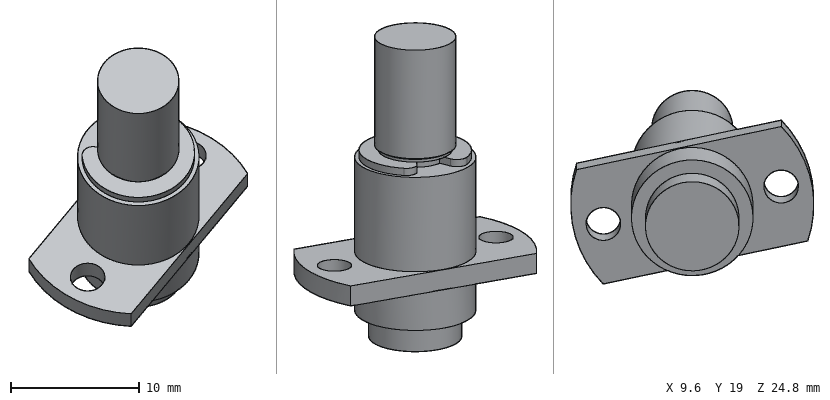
import cadquery as cq
import math

total_height = 24.8
spigot_top = 2.15
flange_bottom = 5.35
flange_thickness = 1.65
body_top = 14.83
clip_thickness = 0.6
clip_top = body_top + clip_thickness
collar_height = 0.22
neck_height = 0.17
neck_bottom = clip_top + collar_height
shaft_bottom = neck_bottom + neck_height

spigot_radius = 3.65
body_radius = 4.74
groove_radius = 2.4
collar_radius = 2.88
neck_radius = 2.78
shaft_radius = 3.17

flange_width = 9.6
flange_length = 18.95
hole_diameter = 2.68
hole_spacing = 14.19

clip_radius = 4.4
clip_half_opening = math.radians(25.0)
clip_tip_fillet = 0.85


def cylinder(radius, bottom, top):
    """Upright cylinder on the Z axis between two heights."""
    return cq.Workplane("XY", origin=(0, 0, bottom)).circle(radius).extrude(top - bottom)


def make_turned_body():
    """Spigot, main body, clip groove, collar, tapered neck and shaft."""
    neck = (
        cq.Workplane("XY", origin=(0, 0, neck_bottom))
        .circle(collar_radius)
        .workplane(offset=neck_height)
        .circle(neck_radius)
        .loft()
    )
    return (
        cylinder(spigot_radius, 0, spigot_top)
        .union(cylinder(body_radius, spigot_top, body_top))
        .union(cylinder(groove_radius, body_top, clip_top))
        .union(cylinder(collar_radius, clip_top, neck_bottom))
        .union(neck)
        .union(cylinder(shaft_radius, shaft_bottom, total_height))
    )


def make_flange():
    """Disc trimmed to two flat sides, with a through hole at each end."""
    return (
        cq.Workplane("XY", origin=(0, 0, flange_bottom))
        .circle(flange_length / 2)
        .extrude(flange_thickness)
        .intersect(cq.Workplane("XY").box(flange_width, flange_length, 2 * total_height))
        .faces(">Z")
        .workplane(origin=(0, 0, 0))
        .pushPoints([(0, hole_spacing / 2), (0, -hole_spacing / 2)])
        .hole(hole_diameter)
    )


def make_clip():
    """Open ring with radial ends, rounded at the outer tips."""
    def ring_point(radius, side):
        return (-radius * math.cos(clip_half_opening), side * radius * math.sin(clip_half_opening))

    return (
        cq.Workplane("XY", origin=(0, 0, body_top))
        .moveTo(*ring_point(groove_radius, 1))
        .lineTo(*ring_point(clip_radius, 1))
        .threePointArc((clip_radius, 0), ring_point(clip_radius, -1))
        .lineTo(*ring_point(groove_radius, -1))
        .threePointArc((groove_radius, 0), ring_point(groove_radius, 1))
        .close()
        .extrude(clip_thickness)
        .edges(cq.selectors.BoxSelector(
            (-clip_radius, -clip_radius, body_top),
            (-(groove_radius + clip_radius) / 2, clip_radius, clip_top),
        ))
        .edges("|Z")
        .fillet(clip_tip_fillet)
    )


result = make_turned_body().union(make_flange()).union(make_clip())